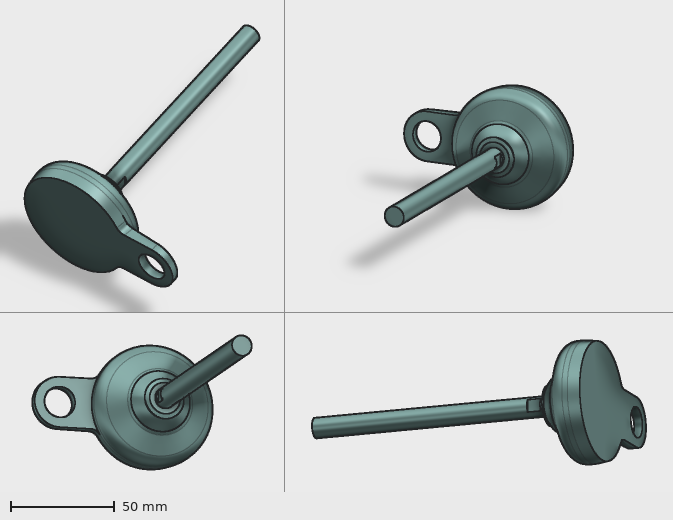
import cadquery as cq
import math

OVERALL_LENGTH = 148.0
OVERALL_WIDTH = 88.0

FOOT_DIAMETER = 60.0
FOOT_RADIUS = FOOT_DIAMETER / 2
FLOOR_RADIUS = 29.2
DRAFT_HEIGHT = 6.2
SHOULDER_START = 9.0
SHOULDER_RADIUS = 7.4
SHOULDER_SLOPE = math.radians(25)
WAIST_RADIUS = 16.5
NECK_RADIUS = 15.0
NECK_HEIGHT = 21.0
NECK_BULGE = 0.6
FOOT_TOP_RADIUS = 9.3
FOOT_HEIGHT = 26.5

TAB_END_RADIUS = 12.5
TAB_REACH = OVERALL_WIDTH - FOOT_RADIUS
TAB_HOLE_X = TAB_REACH - TAB_END_RADIUS
TAB_HOLE_RADIUS = 7.5
TAB_ROOT_HEIGHT = 5.9
TAB_TIP_HEIGHT = 4.0
TAB_BLEND_RADIUS = 5.0

STEM_RADIUS = 5.0
FLATS_WIDTH = 8.0
FLATS_START = 30.0
FLATS_LENGTH = 6.8
COLLAR_RADIUS = 9.9
COLLAR_TOP_RADIUS = 7.7
COLLAR_RIM_HEIGHT = 27.1
COLLAR_TOP_HEIGHT = 28.0


def revolve_about_y(profile):
    return profile.close().revolve(360, (0, 0, 0), (0, 1, 0))


def make_foot_bell():
    """Drafted rim, rounded shoulder, sloping flank and convex neck."""
    arc_centre_r = FOOT_RADIUS - SHOULDER_RADIUS

    def shoulder_point(angle):
        return (
            arc_centre_r + SHOULDER_RADIUS * math.cos(angle),
            SHOULDER_START + SHOULDER_RADIUS * math.sin(angle),
        )

    shoulder_sweep = math.pi / 2 - SHOULDER_SLOPE
    shoulder_end = shoulder_point(shoulder_sweep)
    waist_height = shoulder_end[1] + (shoulder_end[0] - WAIST_RADIUS) * math.tan(SHOULDER_SLOPE)
    neck_chord_r = FOOT_TOP_RADIUS - NECK_RADIUS
    neck_chord_h = FOOT_HEIGHT - NECK_HEIGHT
    neck_chord = math.hypot(neck_chord_r, neck_chord_h)
    neck_middle = (
        (NECK_RADIUS + FOOT_TOP_RADIUS) / 2 + NECK_BULGE * neck_chord_h / neck_chord,
        (NECK_HEIGHT + FOOT_HEIGHT) / 2 - NECK_BULGE * neck_chord_r / neck_chord,
    )
    profile = (
        cq.Workplane("XY")
        .lineTo(FLOOR_RADIUS, 0)
        .lineTo(FOOT_RADIUS, DRAFT_HEIGHT)
        .lineTo(FOOT_RADIUS, SHOULDER_START)
        .threePointArc(shoulder_point(shoulder_sweep / 2), shoulder_end)
        .lineTo(WAIST_RADIUS, waist_height)
        .lineTo(NECK_RADIUS, NECK_HEIGHT)
        .threePointArc(neck_middle, (FOOT_TOP_RADIUS, FOOT_HEIGHT))
        .lineTo(0, FOOT_HEIGHT)
    )
    return revolve_about_y(profile)


def make_tab():
    """Round-ended tab whose top slopes down from the foot to the tip."""
    slope = (TAB_ROOT_HEIGHT - TAB_TIP_HEIGHT) / (TAB_REACH - FOOT_RADIUS)
    inner_x = FOOT_RADIUS - (DRAFT_HEIGHT - TAB_ROOT_HEIGHT) / slope
    wedge = (
        cq.Workplane("XY")
        .moveTo(inner_x, 0)
        .lineTo(TAB_REACH, 0)
        .lineTo(TAB_REACH, TAB_TIP_HEIGHT)
        .lineTo(inner_x, DRAFT_HEIGHT)
        .close()
        .extrude(TAB_END_RADIUS, both=True)
    )
    outline = (
        cq.Workplane("XZ")
        .moveTo(0, -TAB_END_RADIUS)
        .lineTo(TAB_HOLE_X, -TAB_END_RADIUS)
        .threePointArc((TAB_REACH, 0), (TAB_HOLE_X, TAB_END_RADIUS))
        .lineTo(0, TAB_END_RADIUS)
        .close()
        .extrude(-DRAFT_HEIGHT)
    )
    return wedge.intersect(outline)


def make_foot():
    foot = make_foot_bell().union(make_tab())
    for side in (-1, 1):
        corner_z = side * TAB_END_RADIUS
        corner_x = math.sqrt(FLOOR_RADIUS**2 - TAB_END_RADIUS**2)
        corner = cq.selectors.NearestToPointSelector((corner_x, DRAFT_HEIGHT / 2, corner_z))
        foot = foot.edges(corner).fillet(TAB_BLEND_RADIUS)
    hole = (
        cq.Workplane("XZ")
        .center(TAB_HOLE_X, 0)
        .circle(TAB_HOLE_RADIUS)
        .extrude(-DRAFT_HEIGHT)
    )
    return foot.cut(hole)


def make_stem():
    """Round stem with a bevelled collar that rests on the foot, and two wrench flats."""
    profile = (
        cq.Workplane("XY")
        .moveTo(0, FOOT_HEIGHT)
        .lineTo(FOOT_TOP_RADIUS, FOOT_HEIGHT)
        .lineTo(COLLAR_RADIUS, COLLAR_RIM_HEIGHT)
        .lineTo(COLLAR_TOP_RADIUS, COLLAR_TOP_HEIGHT)
        .lineTo(STEM_RADIUS, COLLAR_TOP_HEIGHT)
        .lineTo(STEM_RADIUS, OVERALL_LENGTH)
        .lineTo(0, OVERALL_LENGTH)
    )
    stem = revolve_about_y(profile)
    for side in (-1, 1):
        flat_cutter = cq.Workplane("XY").box(STEM_RADIUS, FLATS_LENGTH, 2 * STEM_RADIUS).translate(
            (side * (FLATS_WIDTH + STEM_RADIUS) / 2, FLATS_START + FLATS_LENGTH / 2, 0)
        )
        stem = stem.cut(flat_cutter)
    return stem


foot = make_foot()
stem = make_stem()
result = cq.Compound.makeCompound([foot.val(), stem.val()])